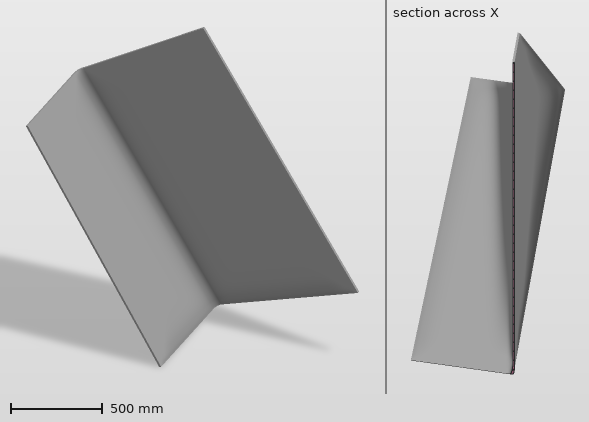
import cadquery as cq
import math


thickness = 13.6
inner_bend_radius = 34.0
outer_bend_radius = inner_bend_radius + thickness

fold_drop_angle = math.radians(58.28)
fold_length = 1603.0
end_flare = 97.07
plate_reach = 967.94

total_depth = 665.74
plate_tilt = math.radians(3.34)

fold_x = math.cos(fold_drop_angle)
fold_z = -math.sin(fold_drop_angle)
across_x = math.sin(fold_drop_angle)
across_z = math.cos(fold_drop_angle)

far_corner_x = (fold_length + end_flare) * fold_x + plate_reach * across_x
corner_depth = total_depth - far_corner_x * math.tan(plate_tilt)

plate_rise = math.asin(math.sin(plate_tilt) * across_x)
bend_center = (
    outer_bend_radius,
    outer_bend_radius * (math.tan(plate_rise) - 1 / math.cos(plate_rise)),
)
mid_bend_angle = math.radians(135) + plate_rise / 2
plate_normal_angle = math.radians(90) + plate_rise
plate_bend_line = bend_center[0] + inner_bend_radius * math.cos(plate_normal_angle)

trim_margin = 200.0


def on_bend(radius, angle):
    """Point of the fold section on a bend arc."""
    return (
        bend_center[0] + radius * math.cos(angle),
        bend_center[1] + radius * math.sin(angle),
    )


def along_plate(start, distance):
    """Point of the fold section moved outward along the plate."""
    return (
        start[0] + distance * math.cos(plate_rise),
        start[1] + distance * math.sin(plate_rise),
    )


def make_folded_sheet():
    """Oversized sheet with a constant section along the fold."""
    fold_direction = cq.Vector(fold_x, fold_x * math.tan(plate_tilt), fold_z)
    section_plane = cq.Plane(
        origin=cq.Vector(0, corner_depth, 0) + fold_direction * (fold_length + trim_margin),
        xDir=(across_x, 0, across_z),
        normal=fold_direction * -1,
    )
    flange_end = -(corner_depth + trim_margin)
    plate_length = plate_reach + trim_margin
    outer_plate_start = on_bend(outer_bend_radius, plate_normal_angle)
    inner_plate_start = on_bend(inner_bend_radius, plate_normal_angle)
    section = (
        cq.Workplane(section_plane)
        .moveTo(0, flange_end)
        .lineTo(0, bend_center[1])
        .threePointArc(on_bend(outer_bend_radius, mid_bend_angle), outer_plate_start)
        .lineTo(*along_plate(outer_plate_start, plate_length))
        .lineTo(*along_plate(inner_plate_start, plate_length))
        .lineTo(*inner_plate_start)
        .threePointArc(on_bend(inner_bend_radius, mid_bend_angle), (thickness, bend_center[1]))
        .lineTo(thickness, flange_end)
        .close()
    )
    return section.extrude(fold_length + 2 * trim_margin)


def make_trim_prism():
    """Prism along Y: square ends at the flange and bend, flared ends on the plate."""
    outline_plane = cq.Plane(
        origin=(0, 0, 0),
        xDir=(fold_x, 0, fold_z),
        normal=(0, -1, 0),
    )
    return (
        cq.Workplane(outline_plane)
        .moveTo(0, 0)
        .lineTo(fold_length, 0)
        .lineTo(fold_length, plate_bend_line)
        .lineTo(fold_length + end_flare, plate_reach)
        .lineTo(-end_flare, plate_reach)
        .lineTo(0, plate_bend_line)
        .close()
        .extrude(-(total_depth + trim_margin))
    )


result = make_folded_sheet().intersect(make_trim_prism())